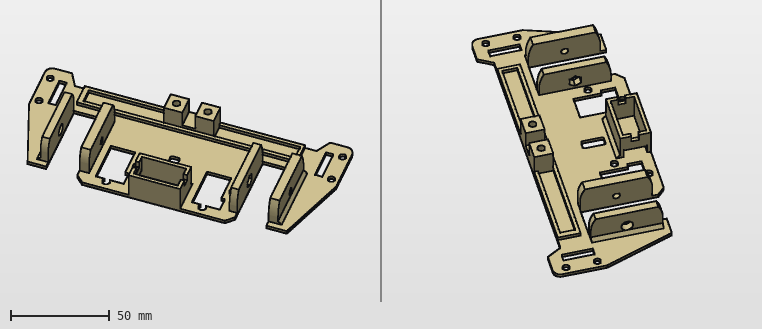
import cadquery as cq
import math

WALL = 2.0

WIDTH = 166.0
DEPTH = 69.0
BODY_OFFSET = -0.5
BODY_WIDTH = 85.2
BODY_CORNER = 4.0
GAP_WIDTH = 17.0
GAP_END_Y = 45.0
BAR_BACK_Y = 61.3
WING_FRONT_Y = 4.0
WING_FRONT_X = 70.0
WING_SIDE_Y = 41.5
WING_BACK_X = 69.7
BAR_BACK_X = 65.2
WING_CORNER_RADIUS = 4.0

WING_HOLE_D = 3.7
WING_HOLE_X = 79.0
WING_HOLE_Y = 53.8
WING_HOLE_PITCH = 16.5
WING_SLOT_X = 72.0
WING_SLOT_WIDTH = 4.0

AXLE_WALL_FRONT_Y = 7.1
AXLE_WALL_TOP_INSET = 2.5
AXLE_WALL_TOP_Z = 17.0
LEFT_SHOULDER_Z = 9.0
RIGHT_SHOULDER_Z = 7.0
THIN_WALL = 4.2
THICK_WALL = 5.1
AXLE_Y = 25.9
AXLE_Z = 7.1
AXLE_D = 3.7
BOLT_HEAD_D = 6.1
NUT_FLATS = 6.1

RIM_DEPTH = 12.0
RIM_TOP_Z = 4.0
RIM_CAVITY_X = 57.1
POST_SIZE = 10.0
POST_CENTER_X = -0.2
POST_PITCH = 17.0
POST_TOP_Z = 15.1
POST_HOLE_D = 3.8
POST_BRIDGE_TOP_Z = 5.6

SENSOR_PITCH = 52.0
SENSOR_LEFT_X = -34.0
SENSOR_WIDTH = 13.1
SENSOR_STEP_WIDTH = 15.1
SENSOR_FRONT_Y = 6.3
SENSOR_STEP_Y = 14.0
SENSOR_BACK_Y = 28.7
KEYHOLE_OFFSET_X = 6.1
KEYHOLE_Y = 4.8
KEYHOLE_D = 4.0
SENSOR_HOLE_OFFSET_X = 17.1
SENSOR_HOLE_Y = 20.1
SENSOR_HOLE_D = 3.8
CABLE_SLOT_WIDTH = 5.0
CABLE_SLOT_LENGTH = 12.0
CABLE_SLOT_Y = 26.7
CABLE_SLOT_RADIUS = 1.0

BOX_WIDTH = 27.9
BOX_DEPTH = 16.3
BOX_TOP_Z = 16.6
BOX_NOTCH_WIDTH = 4.0
BOX_NOTCH_Y = 8.3
BOX_NOTCH_FLOOR_Z = 12.8
BOX_OPENING_TOP_Z = 7.0

HALF_WIDTH = WIDTH / 2
BODY_LEFT = BODY_OFFSET - BODY_WIDTH / 2
BODY_RIGHT = BODY_OFFSET + BODY_WIDTH / 2
GAP_LEFT = BODY_LEFT - GAP_WIDTH
GAP_RIGHT = BODY_RIGHT + GAP_WIDTH


def block(x0, x1, y0, y1, z0, z1):
    """Box between opposite corners."""
    return cq.Workplane("XY").box(x1 - x0, y1 - y0, z1 - z0, centered=False).translate((x0, y0, z0))


def drill(x, y, diameter, top):
    """Upright cylinder from the underside of the plate up to the given height."""
    return cq.Workplane("XY").center(x, y).circle(diameter / 2).extrude(top)


def base_plate():
    right_side = [
        (BODY_RIGHT, 0),
        (BODY_RIGHT, GAP_END_Y),
        (GAP_RIGHT, GAP_END_Y),
        (GAP_RIGHT, WING_FRONT_Y),
        (WING_FRONT_X, WING_FRONT_Y),
        (HALF_WIDTH, WING_SIDE_Y),
        (HALF_WIDTH, DEPTH),
        (WING_BACK_X, DEPTH),
        (BAR_BACK_X, BAR_BACK_Y),
    ]
    left_side = [
        (-BAR_BACK_X, BAR_BACK_Y),
        (-WING_BACK_X, DEPTH),
        (-HALF_WIDTH, DEPTH),
        (-HALF_WIDTH, WING_SIDE_Y),
        (-WING_FRONT_X, WING_FRONT_Y),
        (GAP_LEFT, WING_FRONT_Y),
        (GAP_LEFT, GAP_END_Y),
        (BODY_LEFT, GAP_END_Y),
        (BODY_LEFT, 0),
    ]
    plate = cq.Workplane("XY").polyline(right_side + left_side).close().extrude(WALL)
    for x in (-HALF_WIDTH, HALF_WIDTH):
        plate = plate.edges(cq.NearestToPointSelector((x, DEPTH, WALL / 2))).fillet(WING_CORNER_RADIUS)
    for x in (BODY_LEFT, BODY_RIGHT):
        plate = plate.edges(cq.NearestToPointSelector((x, 0, WALL / 2))).chamfer(BODY_CORNER)
    for side in (-1, 1):
        for row in (-0.5, 0.5):
            hole_y = WING_HOLE_Y + row * WING_HOLE_PITCH
            plate = plate.cut(drill(side * WING_HOLE_X, hole_y, WING_HOLE_D, WALL))
        slot = cq.Workplane("XY").center(side * WING_SLOT_X, WING_HOLE_Y)
        plate = plate.cut(slot.rect(WING_SLOT_WIDTH, WING_HOLE_PITCH).extrude(WALL))
    return plate


def sensor_opening(left):
    """Stepped opening with a keyhole at its front edge and a screw hole beside it."""
    main = block(left, left + SENSOR_WIDTH, SENSOR_FRONT_Y, SENSOR_BACK_Y, 0, WALL)
    step = block(left, left + SENSOR_STEP_WIDTH, SENSOR_FRONT_Y, SENSOR_STEP_Y, 0, WALL)
    keyhole = drill(left + KEYHOLE_OFFSET_X, KEYHOLE_Y, KEYHOLE_D, WALL)
    screw_hole = drill(left + SENSOR_HOLE_OFFSET_X, SENSOR_HOLE_Y, SENSOR_HOLE_D, WALL)
    return main.union(step).union(keyhole).union(screw_hole)


def cable_slot():
    slot = cq.Workplane("XY").center(BODY_OFFSET, CABLE_SLOT_Y).rect(CABLE_SLOT_WIDTH, CABLE_SLOT_LENGTH)
    return slot.extrude(WALL).edges("|Z").fillet(CABLE_SLOT_RADIUS)


def axle_wall(left, thickness, shoulder_z):
    """Upright wall across X, with ends curving inwards above the shoulder."""
    rise = AXLE_WALL_TOP_Z - shoulder_z
    end_radius = (rise**2 + AXLE_WALL_TOP_INSET**2) / (2 * AXLE_WALL_TOP_INSET)
    return (
        cq.Workplane("YZ", origin=(left, 0, 0))
        .moveTo(AXLE_WALL_FRONT_Y, 0)
        .lineTo(GAP_END_Y, 0)
        .lineTo(GAP_END_Y, shoulder_z)
        .radiusArc((GAP_END_Y - AXLE_WALL_TOP_INSET, AXLE_WALL_TOP_Z), -end_radius)
        .lineTo(AXLE_WALL_FRONT_Y + AXLE_WALL_TOP_INSET, AXLE_WALL_TOP_Z)
        .radiusArc((AXLE_WALL_FRONT_Y, shoulder_z), -end_radius)
        .close()
        .extrude(thickness)
    )


def wall_foot(face_x, outward):
    """Sloped foot along the outer face of an axle wall; outward is -1 or 1 along X."""
    return (
        cq.Workplane("XZ", origin=(face_x, GAP_END_Y, WALL))
        .polyline([(0, 0), (outward * WALL, 0), (0, WALL)])
        .close()
        .extrude(GAP_END_Y - AXLE_WALL_FRONT_Y)
    )


def axle_walls(gap_left, shoulder_z, bolt_recess):
    """Thin wall with the bolt head or nut recess, and thick wall with the axle bore, at one gap."""
    thin_left = gap_left - THIN_WALL
    thick_left = gap_left + GAP_WIDTH
    recess = bolt_recess(cq.Workplane("YZ", origin=(thin_left, AXLE_Y, AXLE_Z))).extrude(THIN_WALL)
    bore = cq.Workplane("YZ", origin=(thick_left, AXLE_Y, AXLE_Z)).circle(AXLE_D / 2).extrude(THICK_WALL)
    thin_wall = axle_wall(thin_left, THIN_WALL, shoulder_z).cut(recess)
    thick_wall = axle_wall(thick_left, THICK_WALL, shoulder_z).cut(bore)
    return thin_wall.union(thick_wall)


def bolt_head_outline(plane):
    return plane.circle(BOLT_HEAD_D / 2)


def nut_outline(plane):
    """Hexagon with corners at the top and bottom."""
    corner_diameter = NUT_FLATS / math.cos(math.radians(30))
    return plane.transformed(rotate=(0, 0, 90)).polygon(6, corner_diameter)


def bar_rim():
    """Low rectangular rim along the back of the bar."""
    front = BAR_BACK_Y - RIM_DEPTH
    outer = block(GAP_LEFT, GAP_RIGHT, front, BAR_BACK_Y, 0, RIM_TOP_Z)
    inner = block(-RIM_CAVITY_X, RIM_CAVITY_X, front + WALL, BAR_BACK_Y - WALL, 0, RIM_TOP_Z)
    return outer.cut(inner)


def front_box():
    """Open-topped box: sloped foot behind, wire opening in the left end, notches in both ends."""
    outer = (
        cq.Workplane("YZ", origin=(-BOX_WIDTH / 2, 0, 0))
        .polyline(
            [
                (0, 0),
                (BOX_DEPTH + WALL, 0),
                (BOX_DEPTH + WALL, WALL),
                (BOX_DEPTH, 2 * WALL),
                (BOX_DEPTH, BOX_TOP_Z),
                (0, BOX_TOP_Z),
            ]
        )
        .close()
        .extrude(BOX_WIDTH)
    )
    half_width = BOX_WIDTH / 2
    half_cavity = half_width - WALL
    cavity_back = BOX_DEPTH - WALL
    cavity = block(-half_cavity, half_cavity, WALL, cavity_back, WALL, BOX_TOP_Z)
    low_opening = block(-half_width, -half_cavity, WALL, cavity_back, WALL, BOX_OPENING_TOP_Z)
    notch_front = BOX_NOTCH_Y - BOX_NOTCH_WIDTH / 2
    notch_back = BOX_NOTCH_Y + BOX_NOTCH_WIDTH / 2
    notch = block(-half_width, half_width, notch_front, notch_back, BOX_NOTCH_FLOOR_Z, BOX_TOP_Z)
    return outer.cut(cavity).cut(low_opening).cut(notch)


def bridged_posts():
    """Two posts against the back edge, with a low bridge filling the space between them."""
    post_y = BAR_BACK_Y - POST_SIZE / 2
    bridge = cq.Workplane("XY").center(POST_CENTER_X, post_y).rect(POST_PITCH, POST_SIZE)
    posts = bridge.extrude(POST_BRIDGE_TOP_Z)
    for side in (-0.5, 0.5):
        post_x = POST_CENTER_X + side * POST_PITCH
        post = cq.Workplane("XY").center(post_x, post_y).rect(POST_SIZE, POST_SIZE).extrude(POST_TOP_Z)
        posts = posts.union(post)
    return posts


def post_holes():
    """Bores running through both posts and the plate below them."""
    post_y = BAR_BACK_Y - POST_SIZE / 2
    left_hole = drill(POST_CENTER_X - POST_PITCH / 2, post_y, POST_HOLE_D, POST_TOP_Z)
    return left_hole.union(left_hole.translate((POST_PITCH, 0, 0)))


result = base_plate().cut(cable_slot())
for opening in range(2):
    result = result.cut(sensor_opening(SENSOR_LEFT_X + opening * SENSOR_PITCH))

result = result.union(axle_walls(GAP_LEFT, LEFT_SHOULDER_Z, bolt_head_outline))
result = result.union(axle_walls(BODY_RIGHT, RIGHT_SHOULDER_Z, nut_outline))
result = result.union(wall_foot(GAP_LEFT - THIN_WALL, -1))
result = result.union(wall_foot(GAP_RIGHT + THICK_WALL, 1))
result = result.union(bar_rim()).union(front_box())
result = result.union(bridged_posts()).cut(post_holes())